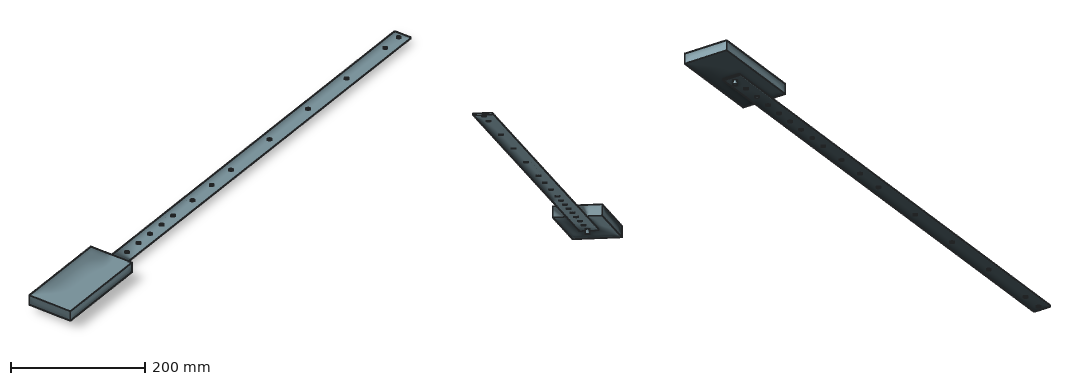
import cadquery as cq

TOTAL_LENGTH = 915.0
TOTAL_HEIGHT = 27.25

STRIP_LENGTH = 845.0
STRIP_WIDTH = 30.0
STRIP_THICKNESS = 3.0
STRIP_FAR_END = TOTAL_LENGTH
STRIP_NEAR_END = STRIP_FAR_END - STRIP_LENGTH

HOLE_DIAMETER = 6.5
END_MARGIN = 10.0
END_HOLE_PITCH = 35.0
HOLE_RUNS = [
    (100.0, 4),
    (50.0, 3),
    (30.0, 8),
]

BLOCK_WIDTH = 75.0
BLOCK_LENGTH = 160.0
PIN_LENGTH = 10.0
PIN_DIAMETER = HOLE_DIAMETER
PIN_Y = STRIP_NEAR_END + END_MARGIN
BLOCK_HEIGHT = TOTAL_HEIGHT - PIN_LENGTH


def hole_positions():
    """Y of every strip hole, from the far end to the hole that takes the pin."""
    y = STRIP_FAR_END - END_MARGIN
    positions = [y]
    for pitch, count in [(END_HOLE_PITCH, 1)] + HOLE_RUNS:
        for _ in range(count):
            y -= pitch
            positions.append(y)
    return positions


def make_strip():
    """Bar with half-round long edges, lying against the underside of the block."""
    half_width = STRIP_WIDTH / 2
    half_flat = half_width - STRIP_THICKNESS / 2
    bar = (
        cq.Workplane("XZ", origin=(0, STRIP_FAR_END, 0))
        .moveTo(-half_flat, -STRIP_THICKNESS)
        .lineTo(half_flat, -STRIP_THICKNESS)
        .threePointArc((half_width, -STRIP_THICKNESS / 2), (half_flat, 0))
        .lineTo(-half_flat, 0)
        .threePointArc((-half_width, -STRIP_THICKNESS / 2), (-half_flat, -STRIP_THICKNESS))
        .close()
        .extrude(STRIP_LENGTH)
    )
    holes = (
        cq.Workplane("XY")
        .pushPoints([(0, y) for y in hole_positions()])
        .circle(HOLE_DIAMETER / 2)
        .extrude(-STRIP_THICKNESS)
    )
    return bar.cut(holes)


def make_block():
    """Box with its pin passing down through the strip."""
    box = cq.Workplane("XY").box(
        BLOCK_WIDTH, BLOCK_LENGTH, BLOCK_HEIGHT, centered=(True, False, False)
    )
    pin = (
        cq.Workplane("XY", origin=(0, PIN_Y, 0))
        .circle(PIN_DIAMETER / 2)
        .extrude(-PIN_LENGTH)
    )
    return box.union(pin)


strip = make_strip()
block = make_block()
result = cq.Compound.makeCompound([strip.val(), block.val()])